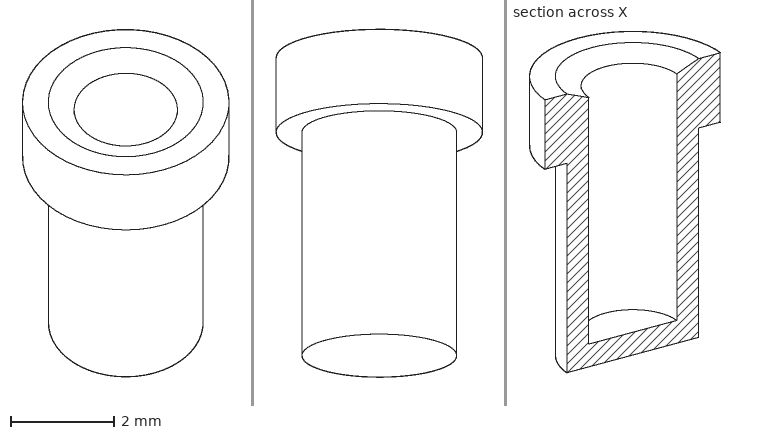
import cadquery as cq

total_height = 6.0
head_height = total_height / 4
head_diameter = total_height * 2 / 3
shank_diameter = total_height / 2
bore_diameter = head_diameter / 2
countersink_diameter = shank_diameter
countersink_depth = 0.205
floor_thickness = (shank_diameter - bore_diameter) / 2

shank = cq.Workplane("XY").circle(shank_diameter / 2).extrude(total_height)
head = (
    cq.Workplane("XY")
    .workplane(offset=total_height - head_height)
    .circle(head_diameter / 2)
    .extrude(head_height)
)

bore = (
    cq.Workplane("XY")
    .workplane(offset=floor_thickness)
    .circle(bore_diameter / 2)
    .extrude(total_height - floor_thickness)
)

countersink = (
    cq.Workplane("XY")
    .workplane(offset=total_height - countersink_depth)
    .circle(bore_diameter / 2)
    .workplane(offset=countersink_depth)
    .circle(countersink_diameter / 2)
    .loft(ruled=True)
)

result = shank.union(head).cut(bore).cut(countersink)